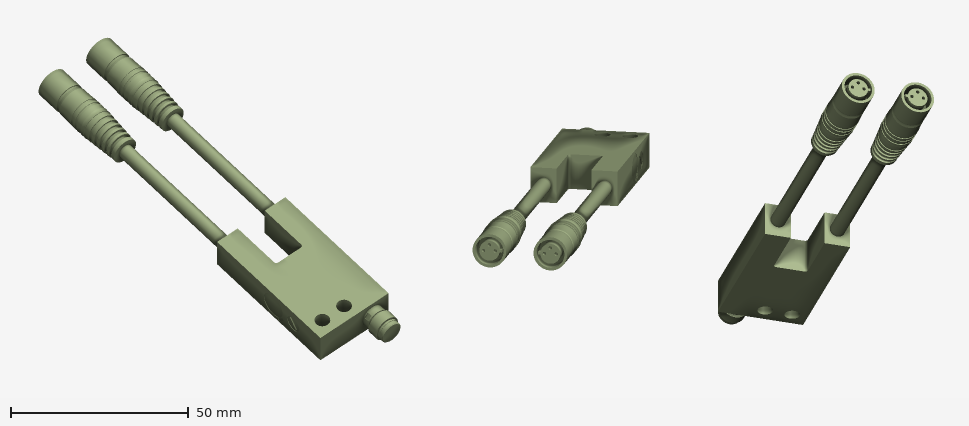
import cadquery as cq
import math

total_length = 130.5

body_start = 76.9
body_length = 45.2
body_end = body_start + body_length
body_width = 25.0
body_height = 10.0
slot_depth = 16.7
slot_width = 9.9
slot_corner_radius = 0.8
mount_hole_diameter = 4.5
mount_hole_inset = 4.6
mount_hole_places = (0, -8.0)

cable_offset = (body_width + slot_width) / 4
cable_diameter = 4.5
socket_length = 32.1
socket_diameter = 9.7
crest_diameter = 10.0
rear_diameter = 8.1

lock_groove_start = 7.6
lock_groove_floor_length = 0.7
lock_groove_end = 9.1
lock_groove_diameter = 9.0

first_grip_groove = 14.2
grip_groove_width = 0.9
grip_groove_pitch = 1.6
grip_groove_count = 2
band_waist_diameter = 9.8
band_start = 18.5
band_end = 20.0

relief_start = 21.8
relief_pitch = 2.0
relief_count = 5
relief_groove_length = 1.2
first_groove_diameter = 8.9
last_groove_diameter = 6.7

gap_diameter = 8.1
gap_depth = 5.2
insert_diameter = 5.7
contact_diameter = 1.0
contact_depth = 3.9
contact_circle_radius = 1.7
contact_angles = (0, 90, 180)
key_width = 0.8
key_reach = 3.5

plug_offset = 6.5
plug_collar_diameter = 8.1
plug_base_diameter = 7.0
plug_neck_diameter = 6.4
plug_waist_diameter = 6.7
plug_tip_diameter = 6.9
plug_ring_diameter = 7.2
plug_base_length = 2.3
plug_collar_start = 3.1
plug_collar_length = 3.3
plug_ring_start = 6.7
plug_ring_length = 0.5
plug_tip_chamfer = 0.3
window_angles = (17, 137, 257)
window_width = 1.8
window_length = 1.6
window_depth = 0.4

cover_x = 101.4
cover_diameter = 8.1
pry_notch_x = 104.7
pry_notch_z = -3.4
pry_notch_length = 2.9
pry_notch_width = 0.9
pry_notch_angle = 45
screw_x = 110.1
screw_diameter = 5.1
screw_slot_length = 4.2
screw_slot_width = 0.8
screw_slot_angle = -52
engraving_depth = 0.1
screw_slot_depth = 0.8


def rod(start, length, diameter, y=0.0, z=0.0):
    """Cylinder along X."""
    return cq.Workplane("YZ", origin=(start, y, z)).circle(diameter / 2).extrude(length)


def make_body():
    """Fork-shaped block with its mounting holes."""
    body = cq.Workplane("XY").box(body_length, body_width, body_height)
    body = body.translate((body_start + body_length / 2, 0, 0))
    slot = cq.Workplane("XY").box(slot_depth, slot_width, body_height)
    slot = slot.edges("|Z and >X").fillet(slot_corner_radius)
    body = body.cut(slot.translate((body_start + slot_depth / 2, 0, 0)))
    for y in mount_hole_places:
        hole = cq.Workplane("XY").center(body_end - mount_hole_inset, y)
        body = body.cut(hole.circle(mount_hole_diameter / 2).extrude(body_height / 2, both=True))
    return body


def side_plane(x, z):
    """Work plane on the -Y side; negative extrusions go into the body."""
    return cq.Workplane("XZ", origin=(x, -body_width / 2, z))


def engrave_side(body):
    """Cut the shallow cover and its pry notch, and the adjusting screw with its slot."""
    cover = side_plane(cover_x, 0).circle(cover_diameter / 2).extrude(-engraving_depth)
    notch = side_plane(pry_notch_x, pry_notch_z).transformed(rotate=(0, 0, pry_notch_angle))
    notch = notch.rect(pry_notch_length, pry_notch_width).extrude(-engraving_depth)
    screw = side_plane(screw_x, 0).circle(screw_diameter / 2).extrude(-engraving_depth)
    slot = side_plane(screw_x, 0).transformed(rotate=(0, 0, screw_slot_angle))
    slot = slot.rect(screw_slot_length, screw_slot_width).extrude(-screw_slot_depth)
    return body.cut(cover).cut(notch).cut(screw).cut(slot)


def socket_shell():
    """Solid of revolution that carries the locking groove, the grip and the strain relief."""
    barrel = socket_diameter / 2
    crest = crest_diameter / 2
    lock_floor = lock_groove_diameter / 2
    outline = cq.Workplane("XY").polyline([
        (0, 0),
        (0, barrel),
        (lock_groove_start, barrel),
        (lock_groove_start, lock_floor),
        (lock_groove_start + lock_groove_floor_length, lock_floor),
        (lock_groove_end, barrel),
    ])
    swell_middle = (lock_groove_end + first_grip_groove) / 2
    quarter_rise = (crest - barrel) / 4
    outline = outline.threePointArc((swell_middle, barrel + quarter_rise), (first_grip_groove, crest))
    for i in range(grip_groove_count):
        start = first_grip_groove + i * grip_groove_pitch
        end = start + grip_groove_width
        if i > 0:
            outline = outline.lineTo(start, crest)
        outline = outline.lineTo(start, barrel).lineTo(end, barrel).lineTo(end, crest)
    band_waist = ((band_start + band_end) / 2, band_waist_diameter / 2)
    outline = outline.lineTo(band_start, barrel).lineTo(band_start, crest)
    outline = outline.threePointArc(band_waist, (band_end, crest)).lineTo(band_end, barrel)
    outline = outline.lineTo(relief_start, barrel)

    collar_step = (socket_diameter - rear_diameter) / 2 / relief_count
    groove_step = (first_groove_diameter - last_groove_diameter) / 2 / (relief_count - 1)
    for i in range(relief_count):
        groove_start = relief_start + i * relief_pitch
        groove_end = groove_start + relief_groove_length
        collar_end = groove_start + relief_pitch if i < relief_count - 1 else socket_length
        groove = first_groove_diameter / 2 - i * groove_step
        collar = barrel - (i + 1) * collar_step
        outline = outline.lineTo(groove_start, groove).lineTo(groove_end, groove)
        outline = outline.lineTo(groove_end, collar).lineTo(collar_end, collar)
    outline = outline.lineTo(socket_length, 0).close()
    return outline.revolve(360, (0, 0, 0), (1, 0, 0))


def make_socket():
    """Socket on the X axis, the key of its insert pointing towards -Y."""
    gap = rod(0, gap_depth, gap_diameter).cut(rod(0, gap_depth, insert_diameter))
    key = cq.Workplane("XY").box(gap_depth, key_reach, key_width)
    gap = gap.cut(key.translate((gap_depth / 2, -key_reach / 2, 0)))
    socket = socket_shell().cut(gap)
    for angle in contact_angles:
        y = contact_circle_radius * math.cos(math.radians(angle))
        z = contact_circle_radius * math.sin(math.radians(angle))
        socket = socket.cut(rod(0, contact_depth, contact_diameter, y, z))
    return socket


def make_plug():
    """Stepped plug with three flat windows around its base."""
    neck = plug_neck_diameter / 2
    waist = plug_waist_diameter / 2
    collar_end = plug_collar_start + plug_collar_length
    ring_end = plug_ring_start + plug_ring_length
    plug_length = total_length - body_end
    tip = plug_tip_diameter / 2
    plug = cq.Workplane("XY").polyline([
        (0, 0),
        (0, plug_base_diameter / 2),
        (plug_base_length, plug_base_diameter / 2),
        (plug_base_length, neck),
        (plug_collar_start, neck),
        (plug_collar_start, plug_collar_diameter / 2),
        (collar_end, plug_collar_diameter / 2),
        (collar_end, waist),
        (plug_ring_start, waist),
        (plug_ring_start, plug_ring_diameter / 2),
        (ring_end, plug_ring_diameter / 2),
        (ring_end, tip),
        (plug_length - plug_tip_chamfer, tip),
        (plug_length, tip - plug_tip_chamfer),
        (plug_length, 0),
    ])
    plug = plug.close().revolve(360, (0, 0, 0), (1, 0, 0))
    for angle in window_angles:
        window = cq.Workplane("XY").box(window_length, 2 * window_depth, window_width)
        window = window.translate((plug_base_length / 2, plug_base_diameter / 2, 0))
        plug = plug.cut(window.rotate((0, 0, 0), (1, 0, 0), angle))
    return plug.translate((body_end, plug_offset, 0))


plus_y_socket = make_socket()
minus_y_socket = plus_y_socket.mirror("XZ")
result = engrave_side(make_body())
for y, socket in ((cable_offset, plus_y_socket), (-cable_offset, minus_y_socket)):
    result = result.union(socket.translate((0, y, 0)))
    result = result.union(rod(socket_length, body_start - socket_length, cable_diameter, y))
result = result.union(make_plug())